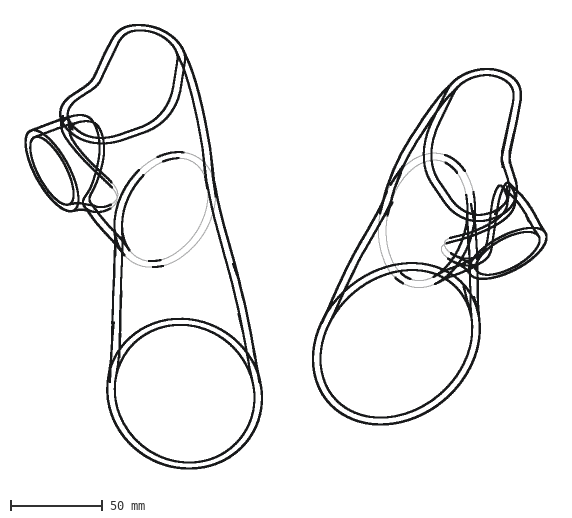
import cadquery as cq
import math

WALL = 4.1
POINTS_PER_SECTION = 16

RIM_TOP = 244.0
RIM_FRONT_Y = 8.0
RIM_SLOPE = 0.23

FOREARM = [
    (0, (33.0, 130.8), (15.4, 104.5), -10),
    (36.5, (32.7, 120.5), (20.3, 104.2), -12),
    (73.2, (32.5, 110.8), (22.5, 102.7), -14),
    (117.1, (32.7, 100.0), (24.0, 99.5), -20),
    (146.5, (32.7, 94.2), (24.5, 97.9), -23),
]

PALM_BASE_Z = 180.5
PALM_BASE = [
    (85.5, 48.8), (84.0, 64.7), (75.2, 80.5), (62.2, 92.7), (51.3, 98.4), (41.5, 99.8), (25.6, 96.6), (16.0, 85.0),
    (19.5, 70.8), (25.1, 53.7), (28.0, 41.5), (32.5, 26.8), (40.3, 17), (51.3, 13.5), (66, 17), (79.3, 30.5),
]

RIM = [
    (67.5, 41.0), (65.0, 62.0), (55.2, 77.9), (41.7, 91.5), (32.0, 100), (22, 102.5), (8.5, 98.5), (0, 84.5),
    (6.0, 68.0), (17, 51.5), (22.7, 42.2), (26.8, 21.5), (35.6, 10.5), (45.5, 8.0), (56.4, 11.0), (65.0, 22.7),
]

PALM_MIDDLE = 0.5
PALM_BULGE = 1.7

THUMB = [
    (0, (18.3, 64.2), (183.3, 236.3), -4),
    (9.8, (18.5, 66.5), (177.7, 234.3), -4),
    (22, (18.5, 72.0), (167.2, 231.9), -4),
    (46.4, (25.6, 70.8), (163.5, 222.0), -4),
]


def oval(first_range, second_range, skew):
    """Points of a skewed ellipse that fills the two ranges."""
    center_a, radius_a = sum(first_range) / 2, (first_range[1] - first_range[0]) / 2
    center_b, radius_b = sum(second_range) / 2, (second_range[1] - second_range[0]) / 2
    angles = [2 * math.pi * i / POINTS_PER_SECTION for i in range(POINTS_PER_SECTION)]
    shift = math.radians(skew)
    return [(center_a + radius_a * math.cos(t), center_b + radius_b * math.sin(t + shift)) for t in angles]


def inset(points, distance):
    """Move the points of a counter-clockwise outline inwards."""
    moved = []
    for i, (a, b) in enumerate(points):
        before, after = points[i - 1], points[(i + 1) % len(points)]
        along_a, along_b = after[0] - before[0], after[1] - before[1]
        scale = distance / math.hypot(along_a, along_b)
        moved.append((a - along_b * scale, b + along_a * scale))
    return moved


def rim_height(y):
    return RIM_TOP - RIM_SLOPE * (y - RIM_FRONT_Y)


def blend(low, high, fraction):
    """3D point at a fraction of the way from low to high."""
    return tuple(a + fraction * (b - a) for a, b in zip(low, high))


def loft(sections):
    """Solid through closed smooth outlines given as lists of 3D points."""
    wires = []
    for points in sections:
        curve = cq.Edge.makeSpline([cq.Vector(*p) for p in points], periodic=True)
        wires.append(cq.Wire.assembleEdges([curve]))
    return cq.Workplane(cq.Solid.makeLoft(wires))


def forearm_sections(depth):
    """Forearm outlines from the base to the neck, moved inwards by depth."""
    sections = []
    for z, x_range, y_range, skew in FOREARM:
        sections.append([(x, y, z) for x, y in inset(oval(x_range, y_range, skew), depth)])
    return sections


def palm_sections(depth):
    """Palm outlines from its base to the rim, moved inwards by depth."""
    base = [(x, y, PALM_BASE_Z) for x, y in inset(PALM_BASE, depth)]
    rim = [(x, y, rim_height(y)) for x, y in inset(RIM, depth)]
    straight = [blend(low, high, PALM_MIDDLE) for low, high in zip(base, rim)]
    bulged = inset([(x, y) for x, y, z in straight], -PALM_BULGE)
    middle = [(x, y, z) for (x, y), (_, _, z) in zip(bulged, straight)]
    return [base, middle, rim]


def sleeve(depth):
    """Forearm and palm, which meet in a crease at the neck."""
    forearm = forearm_sections(depth)
    neck = forearm[-1]
    return loft(forearm).union(loft([neck] + palm_sections(depth)))


def thumb_tube(depth):
    """Thumb tube, with every section moved inwards by depth."""
    sections = []
    for y, x_range, z_range, skew in THUMB:
        sections.append([(x, y, z) for x, z in inset(oval(x_range, z_range, skew), depth)])
    return loft(sections)


outside = sleeve(0).union(thumb_tube(0))
result = outside.cut(sleeve(WALL)).cut(thumb_tube(WALL))